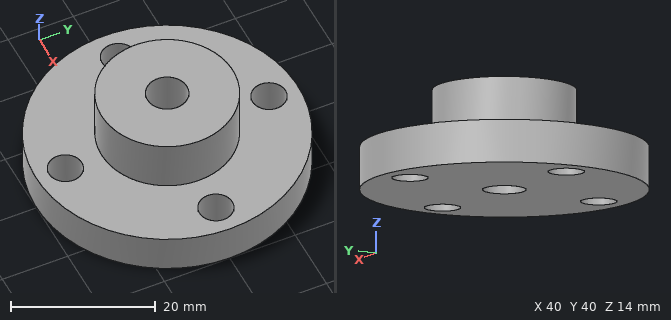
import cadquery as cq

flange_diameter = 40.0
flange_thickness = 6.0

hub_diameter = flange_diameter / 2
hub_height = 8.0
total_height = flange_thickness + hub_height

bore_diameter = 6.0
bolt_hole_diameter = 5.0
bolt_circle_diameter = 31.1
bolt_count = 4


def cylinder(diameter, height):
    """Upright cylinder on the Z axis with its base at Z = 0."""
    return cq.Workplane("XY").circle(diameter / 2).extrude(height)


def bolt_holes():
    """Cutters for the bolt holes, the first one on the +X axis."""
    return (
        cq.Workplane("XY")
        .polarArray(bolt_circle_diameter / 2, 0, 360, bolt_count)
        .circle(bolt_hole_diameter / 2)
        .extrude(flange_thickness)
    )


flange = cylinder(flange_diameter, flange_thickness)
hub = cylinder(hub_diameter, total_height)
bore = cylinder(bore_diameter, total_height)

result = flange.union(hub).cut(bore).cut(bolt_holes())